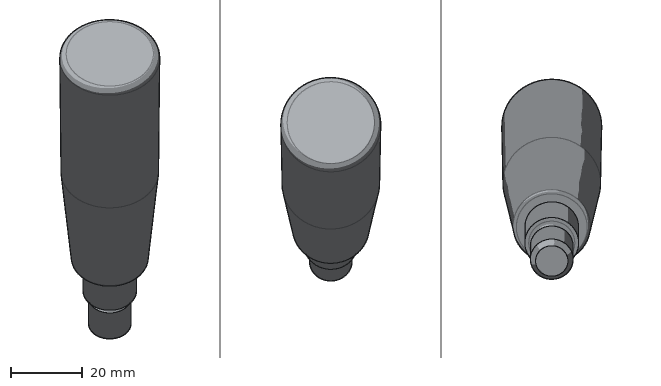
import cadquery as cq
import math

overall_length = 113.0
stud_length = 15.0
grip_bottom = 28.0
grip_belt = 64.2

stud_diameter = 12.0
groove_diameter = 10.0
shank_diameter = 15.0
grip_bottom_diameter = 21.5
belt_diameter = 27.3
grip_top_diameter = 28.0

stud_chamfer = 1.5
groove_upper_round = 1.5
groove_lower_round = 1.4
grip_bottom_round = 0.9
grip_top_round = 1.8


def make_stud():
    """Plain stud with a chamfered tip and a two-arc relief groove under the shank."""
    radius = stud_diameter / 2
    groove_radius = groove_diameter / 2
    groove_middle = stud_length - groove_upper_round
    lower_center_offset = groove_radius + groove_lower_round - radius
    lower_arc_height = math.sqrt(groove_lower_round**2 - lower_center_offset**2)
    return (
        cq.Workplane("XZ")
        .lineTo(radius - stud_chamfer, 0)
        .lineTo(radius, stud_chamfer)
        .lineTo(radius, groove_middle - lower_arc_height)
        .radiusArc((groove_radius, groove_middle), groove_lower_round)
        .radiusArc((groove_radius + groove_upper_round, stud_length), groove_upper_round)
        .lineTo(0, stud_length)
        .close()
        .revolve(360, (0, 0), (0, 1))
    )


def make_shank():
    """Plain cylinder between the stud and the grip."""
    return (
        cq.Workplane("XY", origin=(0, 0, stud_length))
        .circle(shank_diameter / 2)
        .extrude(grip_bottom - stud_length)
    )


def make_grip():
    """Two-taper grip with rounded end edges."""
    return (
        cq.Workplane("XZ")
        .moveTo(0, grip_bottom)
        .lineTo(grip_bottom_diameter / 2, grip_bottom)
        .lineTo(belt_diameter / 2, grip_belt)
        .lineTo(grip_top_diameter / 2, overall_length)
        .lineTo(0, overall_length)
        .close()
        .revolve(360, (0, 0), (0, 1))
        .faces(">Z").edges().fillet(grip_top_round)
        .faces("<Z").edges().fillet(grip_bottom_round)
    )


result = make_stud().union(make_shank()).union(make_grip())